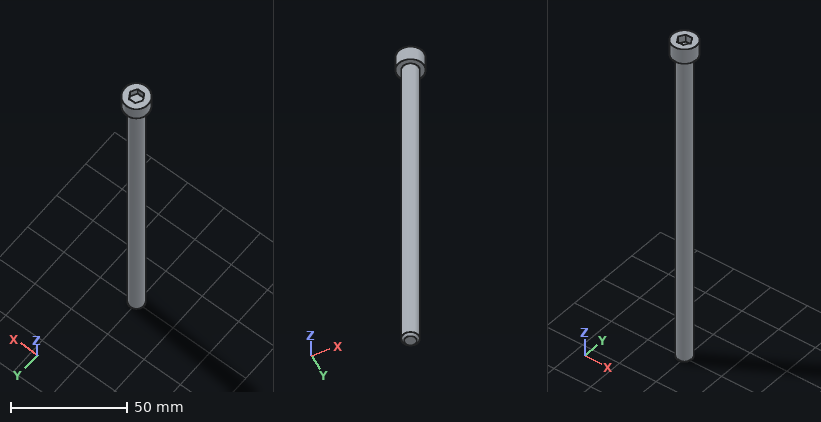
import cadquery as cq
import math

total_length = 178.0
head_diameter = 13.0
head_height = 8.0
shank_diameter = 8.0
tip_chamfer = 1.2
socket_across_flats = 6.0
socket_depth = 4.0

shank_length = total_length - head_height
socket_across_corners = socket_across_flats / math.cos(math.pi / 6)


def make_shank():
    """Plain rod with a chamfered tip; its lower end is at the origin."""
    rod = cq.Workplane("XY").circle(shank_diameter / 2).extrude(shank_length)
    return rod.faces("<Z").chamfer(tip_chamfer)


def make_head():
    """Cylindrical head sitting on top of the shank."""
    return (
        cq.Workplane("XY")
        .workplane(offset=shank_length)
        .circle(head_diameter / 2)
        .extrude(head_height)
    )


def make_socket():
    """Hexagonal key recess, opening at the top of the head."""
    return (
        cq.Workplane("XY")
        .workplane(offset=total_length)
        .polygon(6, socket_across_corners)
        .extrude(-socket_depth)
    )


result = make_shank().union(make_head()).cut(make_socket())